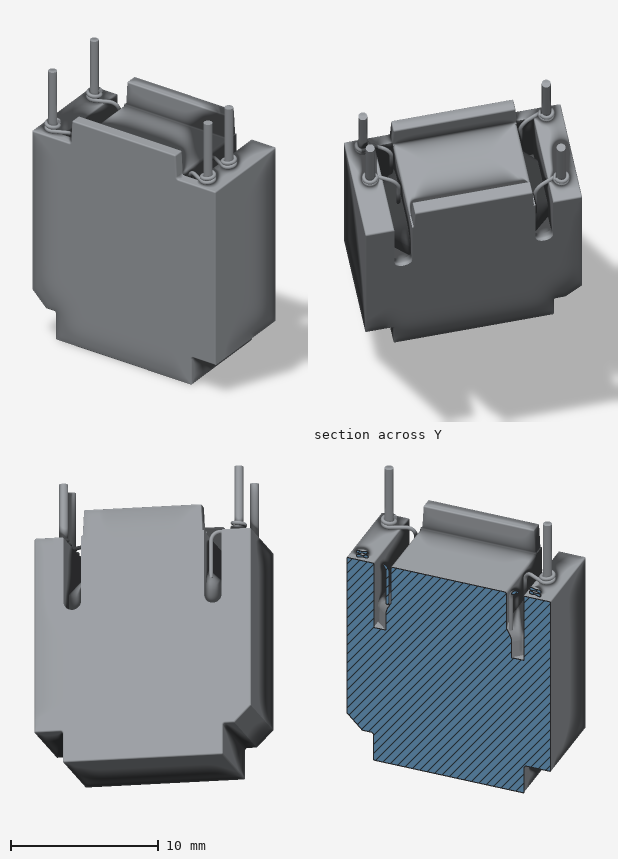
import cadquery as cq
import math

total_height = 20.4
width = 15.0
depth = 7.4
half_width = width / 2
half_depth = depth / 2
shoulder_z = 15.73
head_z = 17.55
head_base_half_width = 4.32
head_top_half_width = 4.22
step_z = 2.18
foot_half_width = 5.55
corner_cut = 1.15
edge_radius = 0.1
root_radius = 0.16

front_wall_inner_y = -2.85
back_wall_inner_y = 2.77
tray_end_radius = 0.18
back_wall_end_radius = 0.06
back_wall_base_half_width = 4.16
back_wall_top_half_width = 4.05

slot_inner_x = 4.26
slot_outer_x = 5.49
slot_width = slot_outer_x - slot_inner_x
slot_floor_z = 10.6
slot_front_y = -2.98
notch_wall = 0.57
cavity_back_y = half_depth - notch_wall
winding_top_z = 13.46
winding_radius = 1.63
winding_taper = 42
winding_overlap = 0.1

pin_x = 6.35
pin_radius = 0.3
pin_pitch = 2.53
pin_front_y = -2.88
pin_embed = 1.02
wire_radius = 0.133
wrap_radius = 0.43
wrap_pitch = 0.3
wrap_turns = 1.75
wire_gap = 0.05
wire_z = shoulder_z + wire_gap + wire_radius
lead_bend_radius = 0.71
lead_drop_x = 4.49
left_lead_angle = 23
right_lead_angle = 29


def box_between(x0, x1, y0, y1, z0, z1):
    return cq.Workplane("XY").box(x1 - x0, y1 - y0, z1 - z0, centered=False).translate((x0, y0, z0))


def edges_at(x, y, z):
    """Selector for edges whose middle lies at the given place."""
    reach = 0.02
    low = (x - reach, y - reach, z - reach)
    high = (x + reach, y + reach, z + reach)
    return cq.selectors.BoxSelector(low, high)


def housing():
    """Solid housing with its shoulders, foot, head and cut corner, with rounded edges."""
    outline = [
        (-foot_half_width, 0),
        (foot_half_width, 0),
        (foot_half_width, step_z),
        (half_width, step_z),
        (half_width, shoulder_z),
        (head_base_half_width, shoulder_z),
        (head_top_half_width, head_z),
        (-head_top_half_width, head_z),
        (-head_base_half_width, shoulder_z),
        (-half_width, shoulder_z),
        (-half_width, step_z + corner_cut),
        (-half_width + corner_cut, step_z),
        (-foot_half_width, step_z),
    ]
    body = cq.Workplane("XZ").polyline(outline).close().extrude(half_depth, both=True)

    corner_roundings = (
        (foot_half_width, step_z, root_radius),
        (head_base_half_width, shoulder_z, root_radius),
        (half_width, shoulder_z, edge_radius),
        (foot_half_width, 0, edge_radius),
        (head_top_half_width, head_z, edge_radius),
    )
    for x, z, radius in corner_roundings:
        for side in (-1, 1):
            body = body.edges(edges_at(side * x, 0, z)).fillet(radius)
    return body.faces("<Y or >Y").edges().fillet(edge_radius)


def tray():
    """Space between the head walls, with rounded roots along both of them."""
    space = box_between(
        -half_width, half_width, front_wall_inner_y, back_wall_inner_y, shoulder_z, head_z
    )
    return space.edges("|X and <Z").fillet(edge_radius)


def back_wall_trim():
    """Wedge that narrows the right end of the back wall toward its top."""
    return (
        cq.Workplane("XZ", origin=(0, back_wall_inner_y, 0))
        .moveTo(back_wall_base_half_width, shoulder_z)
        .lineTo(back_wall_top_half_width, head_z)
        .lineTo(slot_outer_x, head_z)
        .lineTo(slot_outer_x, shoulder_z)
        .close()
        .extrude(-half_depth)
    )


def round_back_wall_end(body, side):
    """Round the two upright edges at one end of the back wall; side is +1 or -1 along X."""
    low_x, high_x = sorted((side * back_wall_base_half_width, side * back_wall_top_half_width))
    upright_edges = cq.selectors.BoxSelector(
        (low_x, back_wall_inner_y - edge_radius, shoulder_z + 2 * edge_radius),
        (high_x, half_depth + edge_radius, head_z - 2 * edge_radius),
    )
    return body.edges(upright_edges).fillet(back_wall_end_radius)


def slot():
    """Right side slot: a closed cavity in front and a round-bottomed notch through the back wall."""
    cavity = box_between(
        slot_inner_x, slot_outer_x, slot_front_y, cavity_back_y, slot_floor_z, shoulder_z + root_radius
    )
    notch_radius = slot_width / 2
    notch = (
        cq.Workplane("XZ", origin=(0, cavity_back_y, 0))
        .moveTo(slot_inner_x, shoulder_z + root_radius)
        .lineTo(slot_inner_x, slot_floor_z + notch_radius)
        .threePointArc(
            (slot_inner_x + notch_radius, slot_floor_z), (slot_outer_x, slot_floor_z + notch_radius)
        )
        .lineTo(slot_outer_x, shoulder_z + root_radius)
        .close()
        .extrude(-notch_wall)
    )
    return cavity.union(notch)


def rim_rounding(x, inward, radius, y_start, y_end):
    """Cutter that rounds a slot rim; inward is +1 or -1, pointing along X from the slot into the solid."""
    top = shoulder_z + radius
    solid_x = x + inward * radius
    arc_offset = radius * (1 - math.sqrt(0.5))
    return (
        cq.Workplane("XZ", origin=(0, y_start, 0))
        .moveTo(x, shoulder_z - radius)
        .threePointArc((x + inward * arc_offset, shoulder_z - arc_offset), (solid_x, shoulder_z))
        .lineTo(solid_x, top)
        .lineTo(x, top)
        .close()
        .extrude(y_start - y_end)
    )


def winding():
    """Part of the winding in the right slot: rounded across Y and tapering outward."""
    length = cavity_back_y - slot_front_y
    height = 2 * (winding_top_z - slot_floor_z)
    start_x = slot_inner_x - winding_overlap
    bulge = (
        cq.Workplane("YZ", origin=(start_x, (cavity_back_y + slot_front_y) / 2, slot_floor_z))
        .sketch()
        .rect(length, height)
        .vertices()
        .fillet(winding_radius)
        .finalize()
        .extrude(slot_width + winding_overlap, taper=winding_taper)
    )
    slot_space = box_between(
        start_x, slot_outer_x, slot_front_y, cavity_back_y, slot_floor_z - winding_overlap, shoulder_z
    )
    return bulge.intersect(slot_space)


def wrapped_pin(y, lead_angle):
    """Left pin with its wire: turns around the pin, then a lead that bends down into the slot."""
    pin = cq.Workplane("XY", origin=(0, 0, shoulder_z - pin_embed)).circle(pin_radius)
    pin = pin.extrude(total_height - shoulder_z + pin_embed)

    helix = cq.Wire.makeHelix(wrap_pitch, wrap_pitch * wrap_turns, wrap_radius, lefthand=True)
    wrap = cq.Workplane("XZ", origin=(wrap_radius, 0, 0)).circle(wire_radius).sweep(helix, isFrenet=True)

    angle = math.radians(lead_angle)
    lead_length = (pin_x - lead_drop_x - wrap_radius * math.sin(angle)) / math.cos(angle)
    lead_end_z = winding_top_z - winding_radius / 2
    lead_path = (
        cq.Workplane("YZ", origin=(wrap_radius, 0, 0))
        .lineTo(lead_length - lead_bend_radius, 0)
        .radiusArc((lead_length, -lead_bend_radius), lead_bend_radius)
        .lineTo(lead_length, lead_end_z - wire_z)
    )
    lead = cq.Workplane("XZ", origin=(wrap_radius, 0, 0)).circle(wire_radius).sweep(lead_path)

    wire = wrap.union(lead).rotate((0, 0, 0), (0, 0, 1), lead_angle - 90).translate((0, 0, wire_z))
    return pin.union(wire).translate((-pin_x, y, 0))


result = housing().cut(tray())
for wall_inner_y in (front_wall_inner_y, back_wall_inner_y):
    result = result.edges(edges_at(0, wall_inner_y, head_z)).fillet(edge_radius)
result = result.cut(back_wall_trim()).cut(back_wall_trim().mirror("YZ"))
for side in (-1, 1):
    result = round_back_wall_end(result, side)
right_side_cuts = (
    slot(),
    rim_rounding(
        slot_inner_x, -1, tray_end_radius, front_wall_inner_y + edge_radius, back_wall_inner_y - edge_radius
    ),
    rim_rounding(slot_outer_x, 1, edge_radius, slot_front_y, half_depth),
)
for feature in right_side_cuts:
    result = result.cut(feature).cut(feature.mirror("YZ"))
result = result.union(winding()).union(winding().mirror("YZ"))

left_pin_rows = (0, 2)
right_pin_rows = (0, 1)
for row in left_pin_rows:
    result = result.union(wrapped_pin(pin_front_y + row * pin_pitch, left_lead_angle))
for row in right_pin_rows:
    result = result.union(wrapped_pin(pin_front_y + row * pin_pitch, right_lead_angle).mirror("YZ"))